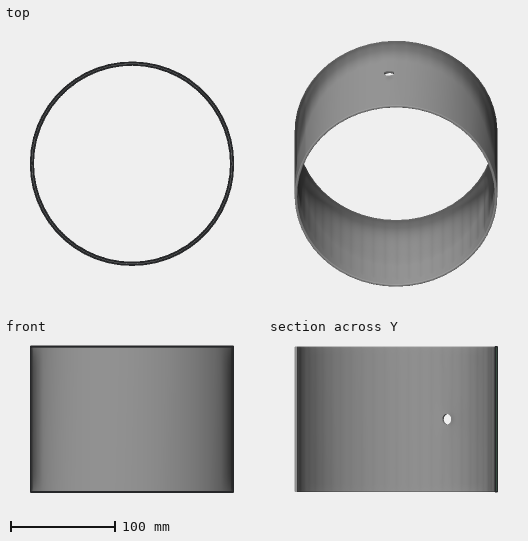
import cadquery as cq
outer_diameter = 195.0
height = 140.0
wall = 2.5
rim_fillet = 1.0

slit_width = 1.4
slit_center_y = slit_width / 2

hole_diameter = 10.0
hole_angle = 59.0

outer_radius = outer_diameter / 2
inner_radius = outer_radius - wall


def make_sleeve():
    """Thin tube with the inner and outer edges of both rims rounded."""
    tube = cq.Workplane("XY").circle(outer_radius).circle(inner_radius).extrude(height)
    return tube.faces("<Z or >Z").edges().fillet(rim_fillet)


def make_slit():
    """Full-height cutter from the axis outward past the -X side."""
    return (
        cq.Workplane("XY")
        .center(-outer_radius, slit_center_y)
        .rect(outer_diameter, slit_width)
        .extrude(height)
    )


def make_hole():
    """Radial cutter from the axis through one side of the wall."""
    return (
        cq.Workplane("YZ")
        .center(0, height / 2)
        .circle(hole_diameter / 2)
        .extrude(outer_diameter)
        .rotate((0, 0, 0), (0, 0, 1), hole_angle)
    )


result = make_sleeve().cut(make_slit()).cut(make_hole())